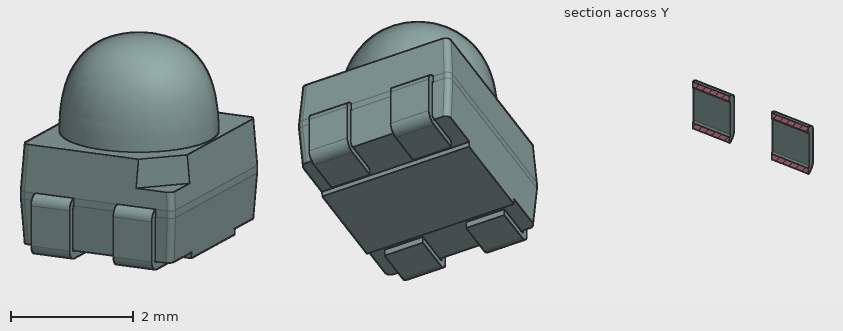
import cadquery as cq
import math

body_x = 2.8
body_y = 3.2
corner_radius = 0.1
draft_angle = 3.5
body_top = 1.82
pad_bottom = 0.025
pad_length = 1.595

lead_span = 3.5
lead_width = 0.7
lead_pitch = 1.495
lead_thickness = 0.125
lead_top = 1.03
lead_outer_radius = 0.175
lead_inner_radius = lead_outer_radius - lead_thickness
foot_end = 0.945

waist_top = lead_top
waist_bottom = lead_top - lead_thickness
body_bottom = lead_thickness

mark_floor = 1.335
mark_reach = 2.31

lens_top = 3.42
lens_base_radius = 1.302
wall_rise = 0.805
crown_reach = 1.068


def rounded_outline(inset):
    """Housing outline with every side moved in by inset; the corner radius stays the same."""
    outline = cq.Sketch().rect(body_x - 2 * inset, body_y - 2 * inset)
    return outline.vertices().fillet(corner_radius)


def drafted_block(start_z, end_z):
    """Block with the full housing outline at start_z, narrowing by the draft towards end_z."""
    inset = abs(end_z - start_z) * math.tan(math.radians(draft_angle))
    end_outline = rounded_outline(inset).moved(cq.Location(cq.Vector(0, 0, end_z - start_z)))
    base = cq.Workplane("XY", origin=(0, 0, start_z))
    return base.placeSketch(rounded_outline(0), end_outline).loft(ruled=True)


def make_housing():
    waist = cq.Workplane("XY", origin=(0, 0, waist_bottom)).placeSketch(rounded_outline(0))
    waist = waist.extrude(waist_top - waist_bottom)
    upper = drafted_block(waist_top, body_top)
    lower = drafted_block(waist_bottom, pad_bottom)
    cut_length = (lead_span - pad_length) / 2
    for side in (-1, 1):
        end_cut = cq.Workplane("XY").box(body_x, cut_length, body_bottom, centered=(True, True, False))
        lower = lower.cut(end_cut.translate((0, side * (pad_length + cut_length) / 2, 0)))
    return waist.union(upper).union(lower)


def make_corner_mark():
    corner_x = body_x / 2
    corner_y = -body_y / 2
    leg = corner_x - corner_y - mark_reach
    return (
        cq.Workplane("XY", origin=(0, 0, mark_floor))
        .moveTo(corner_x, corner_y)
        .lineTo(corner_x, corner_y + leg)
        .lineTo(corner_x - leg, corner_y)
        .close()
        .extrude(body_top - mark_floor)
    )


def make_lens():
    wall_handle = (lens_base_radius, body_top + wall_rise)
    crown_handle = (crown_reach, lens_top)
    return (
        cq.Workplane("XZ")
        .moveTo(0, body_top)
        .lineTo(lens_base_radius, body_top)
        .bezier([(lens_base_radius, body_top), wall_handle, crown_handle, (0, lens_top)])
        .close()
        .revolve(360, (0, 0, 0), (0, 1, 0))
    )


def make_leads():
    """Two bent strips; each one runs through the waist and ends in a foot on either side."""
    strip = cq.Workplane("XY").box(lead_width, lead_span, lead_top, centered=(True, True, False))
    strip = strip.edges("|X").fillet(lead_outer_radius)
    inside = cq.Workplane("XY", origin=(0, 0, lead_thickness)).box(
        lead_width,
        lead_span - 2 * lead_thickness,
        lead_top - 2 * lead_thickness,
        centered=(True, True, False),
    )
    inside = inside.edges("|X").fillet(lead_inner_radius)
    foot_gap = cq.Workplane("XY").box(lead_width, 2 * foot_end, lead_thickness, centered=(True, True, False))
    strip = strip.cut(inside).cut(foot_gap)
    offset = lead_pitch / 2
    return strip.translate((-offset, 0, 0)).union(strip.translate((offset, 0, 0)))


result = make_housing().cut(make_corner_mark()).union(make_lens()).union(make_leads())